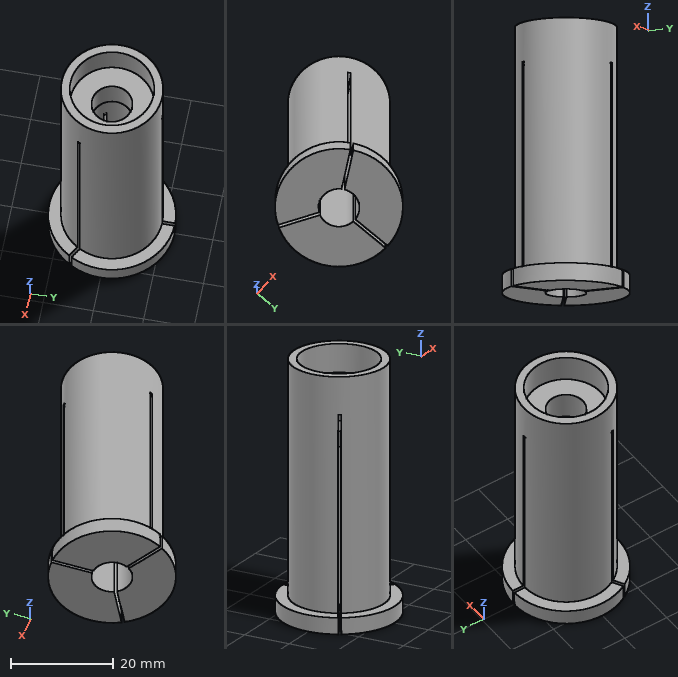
import cadquery as cq
import math

height = 52.9
tube_diameter = 20.0
flange_diameter = 25.0
flange_thickness = 3.5
bore_diameter = 8.0

seat_diameter = 16.5
plug_depth = 6.0
plug_thickness = 6.0
plug_top = height - plug_depth
plug_bottom = plug_top - plug_thickness

slot_count = 3
first_slot_angle = 90
slot_width = 0.6
slot_end_depth = 7.9
slot_top = height - slot_end_depth
slot_inner_radius = 1.5
saw_radius = 30.0
saw_outer_x = slot_inner_radius + 2 * saw_radius
saw_centre_x = slot_inner_radius + saw_radius
saw_centre_offset = saw_centre_x - tube_diameter / 2
saw_centre_z = slot_top - math.sqrt(saw_radius**2 - saw_centre_offset**2)


def disc(diameter, bottom, top):
    """Solid cylinder on the Z axis between two heights."""
    return cq.Workplane("XY").workplane(offset=bottom).circle(diameter / 2).extrude(top - bottom)


def slot_cutter(angle):
    """Path of a thin saw blade fed upwards until its arc reaches slot_top at the tube wall."""
    blade_path = (
        cq.Workplane("XZ")
        .moveTo(slot_inner_radius, 0)
        .lineTo(slot_inner_radius, saw_centre_z)
        .threePointArc(
            (saw_centre_x, saw_centre_z + saw_radius),
            (saw_outer_x, saw_centre_z),
        )
        .lineTo(saw_outer_x, 0)
        .close()
        .extrude(slot_width / 2, both=True)
    )
    return blade_path.rotate((0, 0, 0), (0, 0, 1), angle)


def make_sleeve():
    """Flanged tube with a bore, a wider seat at the top and radial slots."""
    sleeve = disc(tube_diameter, 0, height).union(disc(flange_diameter, 0, flange_thickness))
    sleeve = sleeve.cut(disc(bore_diameter, 0, height))
    sleeve = sleeve.cut(disc(seat_diameter, plug_bottom, height))
    for index in range(slot_count):
        sleeve = sleeve.cut(slot_cutter(first_slot_angle + index * 360 / slot_count))
    return sleeve


def make_plug():
    """Ring that fills the lower part of the seat."""
    return disc(seat_diameter, plug_bottom, plug_top).cut(disc(bore_diameter, plug_bottom, plug_top))


sleeve = make_sleeve()
plug = make_plug()

result = cq.Compound.makeCompound([sleeve.val(), plug.val()])